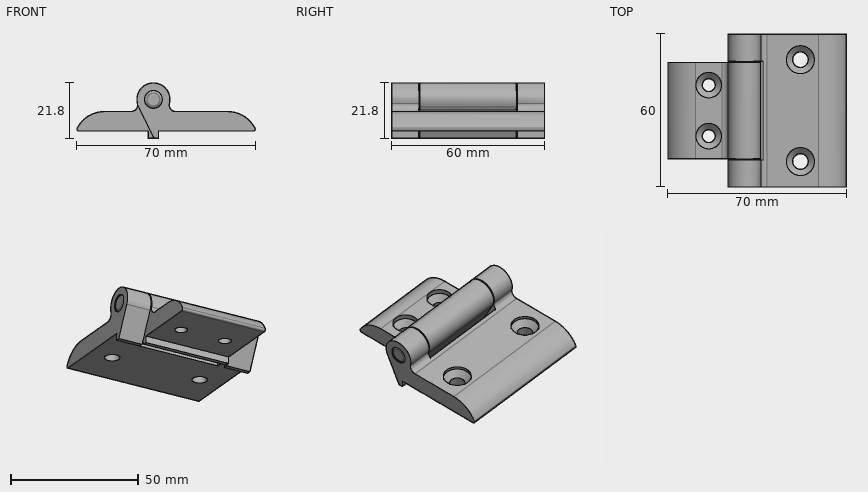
import cadquery as cq
import math

AXIS_HEIGHT = 12.45
BARREL_RADIUS = 6.5
LEAF_THICKNESS = 7.8
ROOT_FILLET = 2.5
EDGE_RADIUS = 12.2
TIP_RADIUS = 0.85
TAB_DEPTH = 2.8
TAB_HALF_WIDTH = 2.0
FLANK_APEX_DEPTH = 2.3

WIDE_REACH = 40.0
NARROW_REACH = 30.0
WIDE_LENGTH = 60.0
NARROW_LENGTH = 37.8
END_GAP = 0.4
SLOT_LENGTH = NARROW_LENGTH + 2 * END_GAP
SLOT_WALL = BARREL_RADIUS + 0.7

PIN_DIAMETER = 7.0
PIN_END_FILLET = 1.0

WIDE_HOLE_X = 22.0
WIDE_HOLE_SPACING = 40.0
WIDE_HOLE_DIAMETER = 6.0
WIDE_HEAD_DIAMETER = 11.0
WIDE_RECESS_DEPTH = 1.1
NARROW_HOLE_X = -14.0
NARROW_HOLE_SPACING = 20.0
NARROW_HOLE_DIAMETER = 5.0
NARROW_HEAD_DIAMETER = 10.0
NARROW_RECESS_DEPTH = 1.95


def leaf_blank(reach, length):
    """Leaf extending toward +X with a full-length barrel, centred on Y = 0."""
    edge_z = LEAF_THICKNESS - EDGE_RADIUS
    tip_x = reach - TIP_RADIUS
    centre_distance = EDGE_RADIUS - TIP_RADIUS
    tip_angle = math.asin((TIP_RADIUS - edge_z) / centre_distance)
    edge_x = tip_x - centre_distance * math.cos(tip_angle)
    edge_mid_angle = (tip_angle + math.pi / 2) / 2
    tip_mid_angle = (tip_angle - math.pi / 2) / 2

    root_z = LEAF_THICKNESS + ROOT_FILLET
    root_distance = BARREL_RADIUS + ROOT_FILLET
    root_angle = math.asin((root_z - AXIS_HEIGHT) / root_distance)
    root_x = root_distance * math.cos(root_angle)
    root_mid_angle = (math.pi + root_angle + 1.5 * math.pi) / 2

    flank_angle = math.asin(BARREL_RADIUS / (AXIS_HEIGHT + FLANK_APEX_DEPTH))
    flank_end_x = (TAB_DEPTH - FLANK_APEX_DEPTH) * math.tan(flank_angle)

    def on_circle(x, z, radius, angle):
        return (x + radius * math.cos(angle), z + radius * math.sin(angle))

    profile = (
        cq.Workplane("XZ")
        .moveTo(flank_end_x, -TAB_DEPTH)
        .lineTo(TAB_HALF_WIDTH, -TAB_DEPTH)
        .lineTo(TAB_HALF_WIDTH, 0)
        .lineTo(tip_x, 0)
        .threePointArc(
            on_circle(tip_x, TIP_RADIUS, TIP_RADIUS, tip_mid_angle),
            on_circle(tip_x, TIP_RADIUS, TIP_RADIUS, tip_angle),
        )
        .threePointArc(
            on_circle(edge_x, edge_z, EDGE_RADIUS, edge_mid_angle),
            (edge_x, LEAF_THICKNESS),
        )
        .lineTo(root_x, LEAF_THICKNESS)
        .threePointArc(
            on_circle(root_x, root_z, ROOT_FILLET, root_mid_angle),
            on_circle(0, AXIS_HEIGHT, BARREL_RADIUS, root_angle),
        )
        .threePointArc(
            (0, AXIS_HEIGHT + BARREL_RADIUS),
            on_circle(0, AXIS_HEIGHT, BARREL_RADIUS, math.pi + flank_angle),
        )
        .close()
    )
    return profile.extrude(length / 2, both=True)


def axis_cylinder():
    """Cylinder of the pin diameter along the hinge axis."""
    return (
        cq.Workplane("XZ")
        .center(0, AXIS_HEIGHT)
        .circle(PIN_DIAMETER / 2)
        .extrude(WIDE_LENGTH / 2, both=True)
    )


def screw_hole(x, y, hole_diameter, head_diameter, recess_depth):
    """Cutter for a through hole with a countersink below a straight head recess."""
    hole_radius = hole_diameter / 2
    head_radius = head_diameter / 2
    cone_top = LEAF_THICKNESS - recess_depth
    cone_bottom = cone_top - (head_radius - hole_radius)
    return (
        cq.Workplane("XZ")
        .polyline([
            (0, 0),
            (hole_radius, 0),
            (hole_radius, cone_bottom),
            (head_radius, cone_top),
            (head_radius, LEAF_THICKNESS),
            (0, LEAF_THICKNESS),
        ])
        .close()
        .revolve(360, (0, 0), (0, 1))
        .translate((x, y, 0))
    )


def drill_screw_holes(leaf, x, spacing, hole_diameter, head_diameter, recess_depth):
    for y in (-spacing / 2, spacing / 2):
        leaf = leaf.cut(screw_hole(x, y, hole_diameter, head_diameter, recess_depth))
    return leaf


def make_wide_leaf():
    """Leaf with two end knuckles and a slot for the middle knuckle."""
    slot_height = AXIS_HEIGHT + BARREL_RADIUS + TAB_DEPTH
    slot = (
        cq.Workplane("XY")
        .box(2 * SLOT_WALL, SLOT_LENGTH, slot_height, centered=(True, True, False))
        .translate((0, 0, -TAB_DEPTH))
    )
    leaf = leaf_blank(WIDE_REACH, WIDE_LENGTH).cut(slot).cut(axis_cylinder())
    return drill_screw_holes(
        leaf,
        WIDE_HOLE_X,
        WIDE_HOLE_SPACING,
        WIDE_HOLE_DIAMETER,
        WIDE_HEAD_DIAMETER,
        WIDE_RECESS_DEPTH,
    )


def make_narrow_leaf():
    """Mirrored leaf carrying the middle knuckle."""
    leaf = leaf_blank(NARROW_REACH, NARROW_LENGTH).mirror("YZ").cut(axis_cylinder())
    return drill_screw_holes(
        leaf,
        NARROW_HOLE_X,
        NARROW_HOLE_SPACING,
        NARROW_HOLE_DIAMETER,
        NARROW_HEAD_DIAMETER,
        NARROW_RECESS_DEPTH,
    )


def make_pin():
    """Hinge pin, flush with the wide leaf, with rounded ends."""
    return axis_cylinder().faces("<Y or >Y").edges().fillet(PIN_END_FILLET)


wide_leaf = make_wide_leaf()
narrow_leaf = make_narrow_leaf()
pin = make_pin()

result = cq.Compound.makeCompound([wide_leaf.solids().val(), narrow_leaf.solids().val(), pin.solids().val()])